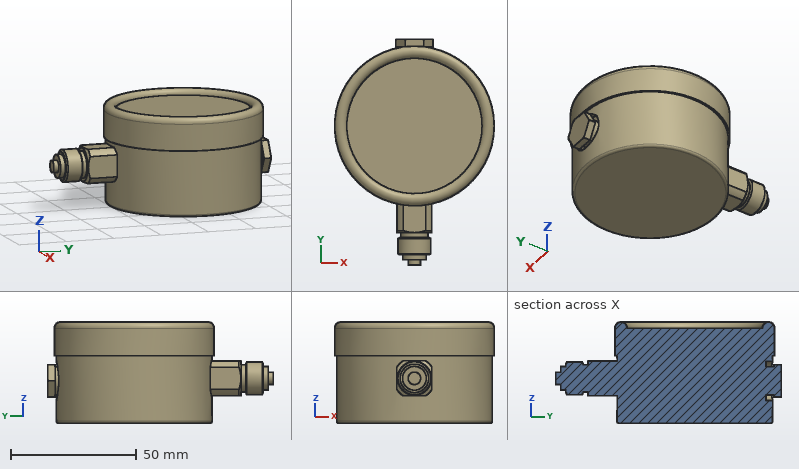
import cadquery as cq
import math

case_dia = 62.3
case_bottom_fillet = 1.0

bezel_dia = 63.8
bezel_bottom_z = 27.0
total_height = 40.5
glass_dia = 54.0
rim_radius = (bezel_dia - glass_dia) / 4
rim_start_z = total_height - rim_radius
glass_depth = 2.5
glass_z = total_height - glass_depth

connector_z = 18.0
square_width = 14.0
square_corner_dia = 16.6
square_end = 42.7
square_end_dia = 13.5
square_chamfer_angle = 30.0
neck_dia = 11.0
collar_dia = 13.16
collar_end_dia = 11.4
collar_start = 44.45
collar_end = 51.5
collar_chamfer_length = 0.5
spigot_dia = 9.5
spigot_end = 53.5
pin_dia = 5.0
pin_end = 55.55

plug_z = 17.0
plug_across_flats = 13.0
plug_across_corners = plug_across_flats / math.cos(math.pi / 6)
plug_end = 34.6
plug_head_length = 3.0
plug_chamfer_radial = 0.3
plug_neck_dia = 11.4
recess_dia = 15.6
recess_floor = 28.5


def outward_plane(side, height):
    """Plane through the case axis whose normal points along Y (side = +1 or -1)."""
    return cq.Plane(origin=(0, 0, height), xDir=(1, 0, 0), normal=(0, side, 0))


def revolved_along_connector(points):
    """Solid of revolution about the connector axis from (radius, distance) points."""
    profile = [(radius, -distance) for radius, distance in points]
    return (
        cq.Workplane("XY", origin=(0, 0, connector_z))
        .polyline(profile)
        .close()
        .revolve(360, (0, 0), (0, 1))
    )


def make_case():
    return (
        cq.Workplane("XY")
        .circle(case_dia / 2)
        .extrude(glass_z)
        .faces("<Z")
        .edges()
        .fillet(case_bottom_fillet)
    )


def make_bezel():
    outer = bezel_dia / 2
    inner = glass_dia / 2
    return (
        cq.Workplane("XZ")
        .moveTo(0, bezel_bottom_z)
        .lineTo(outer, bezel_bottom_z)
        .lineTo(outer, rim_start_z)
        .threePointArc((outer - rim_radius, total_height), (inner, rim_start_z))
        .lineTo(inner, glass_z)
        .lineTo(0, glass_z)
        .close()
        .revolve(360, (0, 0), (0, 1))
    )


def make_connector_square():
    """Square shank with turned corners and a conical chamfer at its outer end."""
    shank = (
        cq.Workplane(outward_plane(-1, connector_z))
        .rect(square_width, square_width)
        .extrude(square_end)
    )
    corner_radius = square_corner_dia / 2
    end_radius = square_end_dia / 2
    chamfer_length = (corner_radius - end_radius) * math.tan(math.radians(square_chamfer_angle))
    envelope = revolved_along_connector([
        (0, 0),
        (corner_radius, 0),
        (corner_radius, square_end - chamfer_length),
        (end_radius, square_end),
        (0, square_end),
    ])
    return shank.intersect(envelope)


def make_connector_spigot():
    """Turned end: neck, chamfered collar, spigot and centre pin."""
    return revolved_along_connector([
        (0, 0),
        (neck_dia / 2, 0),
        (neck_dia / 2, collar_start),
        (collar_end_dia / 2, collar_start),
        (collar_dia / 2, collar_start + collar_chamfer_length),
        (collar_dia / 2, collar_end - collar_chamfer_length),
        (collar_end_dia / 2, collar_end),
        (spigot_dia / 2, collar_end),
        (spigot_dia / 2, spigot_end),
        (pin_dia / 2, spigot_end),
        (pin_dia / 2, pin_end),
        (0, pin_end),
    ])


def make_plug_recess():
    return (
        cq.Workplane(outward_plane(1, plug_z))
        .workplane(offset=recess_floor)
        .circle(recess_dia / 2)
        .extrude(case_dia / 2 - recess_floor)
    )


def make_plug():
    head_start = plug_end - plug_head_length
    neck = (
        cq.Workplane(outward_plane(1, plug_z))
        .circle(plug_neck_dia / 2)
        .extrude(head_start)
    )
    head = (
        cq.Workplane(outward_plane(1, plug_z))
        .workplane(offset=head_start)
        .polygon(6, plug_across_corners)
        .extrude(plug_head_length)
    )
    envelope = (
        cq.Workplane(outward_plane(1, plug_z))
        .workplane(offset=head_start)
        .circle(plug_across_corners / 2)
        .extrude(plug_head_length)
        .faces(">Y")
        .edges()
        .chamfer(plug_chamfer_radial)
    )
    return neck.union(head.intersect(envelope))


result = (
    make_case()
    .cut(make_plug_recess())
    .union(make_bezel())
    .union(make_connector_square())
    .union(make_connector_spigot())
    .union(make_plug())
)